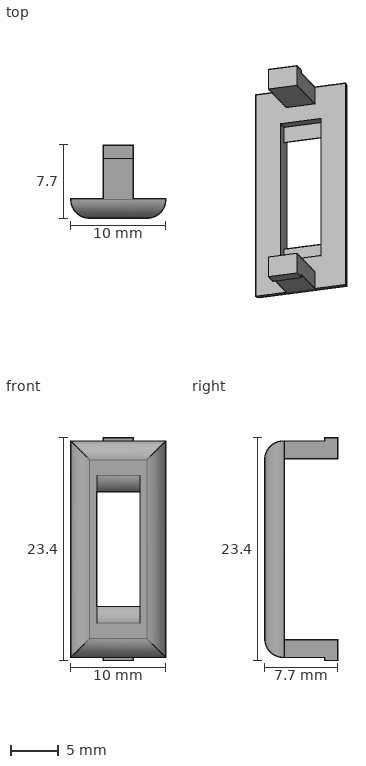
import cadquery as cq
import math

overall_height = 23.4
overall_depth = 7.7

frame_width = 10.0
frame_depth = 2.1
edge_radius = 2.0

window_width = 4.52
window_height = 12.0
window_end_length = 1.73

leg_width = 3.18
leg_thickness = 1.9
hook_height = 0.33
hook_length = 1.4

frame_height = overall_height - 2 * hook_height


def make_frame():
    """Rectangular bezel with rounded front edges and a window with rounded end lips."""
    frame = (
        cq.Workplane("XY")
        .box(frame_width, frame_depth, frame_height)
        .translate((0, frame_depth / 2, 0))
        .faces("<Y").edges().fillet(edge_radius)
    )
    window = (
        cq.Workplane("XY")
        .box(window_width, frame_depth, window_height)
        .translate((0, frame_depth / 2, 0))
    )
    frame = frame.cut(window)
    for side in (1, -1):
        frame = frame.cut(make_window_end(side))
    return frame


def make_window_end(side):
    """Cutter for one window end (+1 top, -1 bottom): rounded front over an open back recess."""
    inner_z = side * window_height / 2
    outer_z = inner_z + side * window_end_length
    sweep = math.asin(window_end_length / edge_radius)
    lip_y = edge_radius * (1 - math.cos(sweep))
    arc_middle = (
        edge_radius * (1 - math.cos(sweep / 2)),
        outer_z - side * edge_radius * math.sin(sweep / 2),
    )
    front_rounding = (
        cq.Workplane("YZ")
        .moveTo(0, inner_z)
        .lineTo(0, outer_z)
        .threePointArc(arc_middle, (lip_y, inner_z))
        .close()
        .extrude(window_width / 2, both=True)
    )
    recess_depth = frame_depth - lip_y
    back_recess = (
        cq.Workplane("XY")
        .box(window_width, recess_depth, window_end_length)
        .translate((0, lip_y + recess_depth / 2, (inner_z + outer_z) / 2))
    )
    return front_rounding.union(back_recess)


def make_leg(side):
    """Leg behind the frame with an outward hook; side is +1 top, -1 bottom."""
    outer_z = side * frame_height / 2
    inner_z = outer_z - side * leg_thickness
    hook_z = side * overall_height / 2
    hook_y = overall_depth - hook_length
    return (
        cq.Workplane("YZ")
        .polyline([
            (frame_depth, inner_z),
            (overall_depth, inner_z),
            (overall_depth, hook_z),
            (hook_y, hook_z),
            (hook_y, outer_z),
            (frame_depth, outer_z),
        ])
        .close()
        .extrude(leg_width / 2, both=True)
    )


result = make_frame().union(make_leg(1)).union(make_leg(-1))